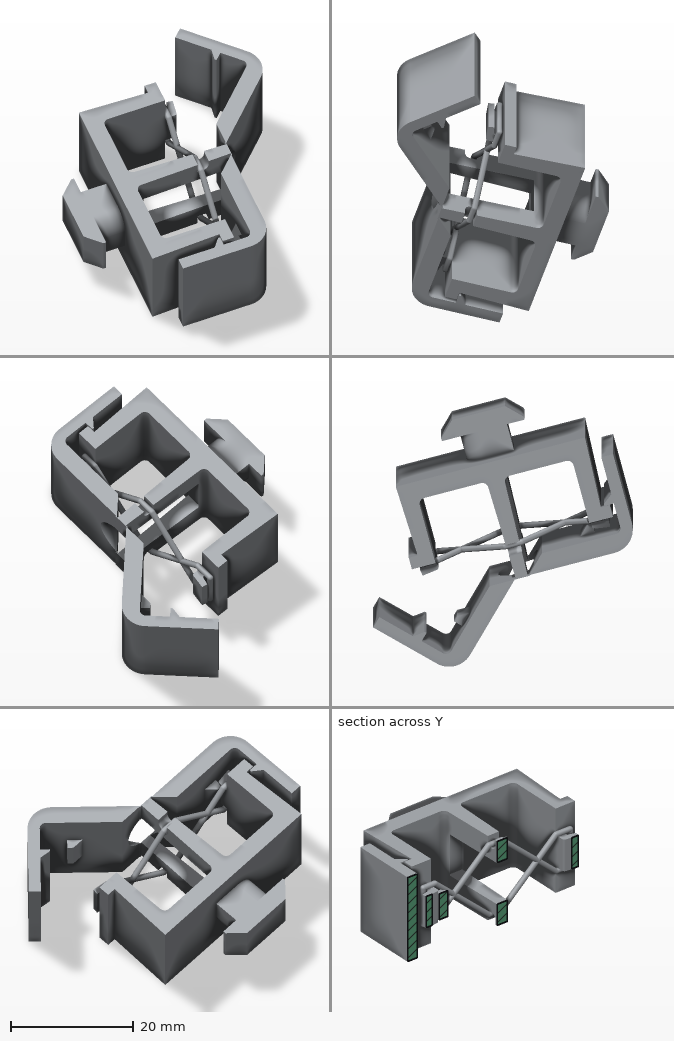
import cadquery as cq
import math


width = 16.0
base_half = 16.0
rim_root_half = 15.5
rim_half = 17.0
rim_bottom = 12.0
rim_top = 14.0
floor_top = 3.0
bay_outer = 13.0
bay_fillet = 1.0
middle_foot_half = 1.45
middle_tip_half = 1.0
middle_top = 19.985

slot_half = 3.9
slot_bottom = floor_top + bay_fillet
notch_top = 16.0
notch_fillet = 1.0

wire_height = 1.0
wire_width = 0.9
wire_edge_radius = 0.43
wire_y = rim_top + wire_height / 2
wire_end_left = -15.6
wire_end_right = 15.05
wire_bend_outer = 12.6
wire_bend_inner = 1.4
notch_floor = 6.1
wire_notch_z = notch_floor + wire_width / 2

hook_half = 3.0
wire_end_z = hook_half + wire_width / 2
hook_neck_x = 14.5
hook_neck_top = 15.15
hook_tip_x = 16.0
hook_tip_bottom = 15.5
hook_tip_top_x = 15.85
hook_tip_top = 16.5
hook_back_top = 16.1
hook_fillet = 0.4

hinge_x = 1.215
hinge_film = 0.115
hinge_y_closed = middle_top - hinge_film
hinge_y_open = middle_top
hinge_overlap = 0.2
lid_open_angle = 45.0
lid_length = 18.5
lid_drop = 16.0
lid_thickness = 3.0
arm_thickness = 2.0
lid_outer_radius = 4.0
lid_inner_radius = 1.0
lid_hole_d = 8.0

latch_top = 8.0
latch_height = 1.6
latch_depth = 1.6
latch_nose = 0.35
nub_end = 12.0
nub_base = 2.5
nub_tip = 1.0
nub_depth = 1.5
nub_width = 5.0

foot_half = 7.0
foot_width = 7.0
foot_drop = 7.5
foot_chamfer = 2.5
stem_length = 4.5
stem_half = 4.0
stem_radius = 3.0


def plate(points, plate_width=width):
    """Closed XY outline extruded symmetrically about Z = 0."""
    return cq.Workplane("XY").polyline(points).close().extrude(plate_width / 2, both=True)


def box_between(x0, x1, y0, y1, z0, z1):
    return cq.Workplane("XY").box(x1 - x0, y1 - y0, z1 - z0, centered=False).translate((x0, y0, z0))


def both_sides(body):
    """The body together with its mirror image across X = 0."""
    return body.union(body.mirror("YZ"))


def make_base():
    half = plate([
        (0, 0), (base_half, 0), (rim_root_half, rim_bottom), (rim_half, rim_bottom),
        (rim_half, rim_top), (0, rim_top),
    ])
    middle_slope = (middle_foot_half - middle_tip_half) / (middle_top - floor_top)
    bay_top_inner = middle_foot_half - middle_slope * (rim_top - floor_top)
    bay = plate([
        (middle_foot_half, floor_top), (bay_outer, floor_top),
        (bay_outer, rim_top), (bay_top_inner, rim_top),
    ])
    bay = bay.edges("|Z and <Y").fillet(bay_fillet)
    upper_wall = plate([
        (0, rim_top), (bay_top_inner, rim_top), (middle_tip_half, middle_top), (0, middle_top),
    ])
    return both_sides(half.cut(bay).union(upper_wall))


def make_hooks():
    hook = plate([
        (bay_outer, rim_top), (hook_neck_x, rim_top), (hook_neck_x, hook_neck_top),
        (hook_tip_x, hook_tip_bottom), (hook_tip_top_x, hook_tip_top), (bay_outer, hook_back_top),
    ], 2 * hook_half)
    corner = cq.selectors.NearestToPointSelector((bay_outer, hook_back_top, 0))
    return both_sides(hook.edges("|Z").edges(corner).fillet(hook_fillet))


def make_foot():
    stem = box_between(-stem_half, stem_half, -stem_length, 0, -foot_width / 2, foot_width / 2)
    for x, z in ((stem_half, foot_width / 2), (-stem_half, -foot_width / 2)):
        corner = cq.selectors.NearestToPointSelector((x, -stem_length / 2, z))
        stem = stem.edges("|Y").edges(corner).fillet(stem_radius)
    head = plate([
        (-foot_half, -stem_length), (foot_half, -stem_length),
        (foot_half, foot_chamfer - foot_drop), (foot_half - foot_chamfer, -foot_drop),
        (foot_chamfer - foot_half, -foot_drop), (-foot_half, foot_chamfer - foot_drop),
    ], foot_width)
    return stem.union(head)


def make_lid():
    """Closed right-hand lid with its hinge line at the origin."""
    arm_inner = lid_length - arm_thickness
    arc_mid = lid_outer_radius * (1 - math.sqrt(0.5))
    inner_arc_mid = lid_inner_radius * (1 - math.sqrt(0.5))
    lid = (
        cq.Workplane("XY")
        .lineTo(lid_length - lid_outer_radius, 0)
        .threePointArc((lid_length - arc_mid, -arc_mid), (lid_length, -lid_outer_radius))
        .lineTo(lid_length, -lid_drop)
        .lineTo(arm_inner, -lid_drop)
        .lineTo(arm_inner, -lid_thickness - lid_inner_radius)
        .threePointArc(
            (arm_inner - inner_arc_mid, -lid_thickness - inner_arc_mid),
            (arm_inner - lid_inner_radius, -lid_thickness),
        )
        .lineTo(lid_thickness, -lid_thickness)
        .close()
        .extrude(width / 2, both=True)
    )
    latch_y = latch_top - lid_drop
    latch = plate([
        (arm_inner, latch_y), (arm_inner - latch_depth, latch_y),
        (arm_inner - latch_depth, latch_y - latch_nose), (arm_inner, latch_y - latch_height),
    ])
    nub = plate([
        (nub_end, -lid_thickness), (nub_end - nub_base, -lid_thickness),
        (nub_end - nub_tip, -lid_thickness - nub_depth), (nub_end, -lid_thickness - nub_depth),
    ], nub_width)

    hole_shift = hinge_x * math.sqrt(0.5)
    hole_plane = cq.Plane(origin=(-hole_shift, hole_shift, 0), xDir=(0, 0, 1), normal=(1, 1, 0))
    hole = cq.Workplane(hole_plane).circle(lid_hole_d / 2).extrude(lid_length, both=True)
    return lid.cut(hole).union(latch).union(nub)


def make_housing():
    body = make_base().union(make_hooks()).union(make_foot())

    lid = make_lid()
    closed_lid = lid.translate((hinge_x, hinge_y_closed, 0))
    open_lid = lid.mirror("YZ").rotate((0, 0, 0), (0, 0, 1), -lid_open_angle)
    open_lid = open_lid.translate((-hinge_x, hinge_y_open, 0))
    film_half = hinge_x + hinge_overlap
    film = box_between(
        -film_half, film_half, middle_top - hinge_film, middle_top, -width / 2, width / 2
    )
    body = body.union(film).union(closed_lid).union(open_lid)

    slot = box_between(-film_half, film_half, slot_bottom, middle_top, -slot_half, slot_half)
    notch = box_between(-film_half, film_half, rim_top, notch_top, notch_floor, width / 2)
    corner = cq.selectors.NearestToPointSelector((0, notch_top, notch_floor))
    notch = notch.edges("|X").edges(corner).fillet(notch_fillet)
    return body.cut(slot).cut(notch).cut(notch.mirror("XY"))


def make_wire():
    """Figure-eight wire: two mirrored strands that cross once in each bay."""
    path = cq.Workplane("XZ", origin=(0, wire_y, 0)).polyline([
        (wire_end_left, 0),
        (wire_end_left, wire_end_z),
        (-wire_bend_outer, wire_end_z),
        (-wire_bend_inner, -wire_notch_z),
        (wire_bend_inner, -wire_notch_z),
        (wire_bend_outer, wire_end_z),
        (wire_end_right, wire_end_z),
        (wire_end_right, 0),
    ])
    outline = cq.Sketch().rect(wire_width, wire_height).vertices().fillet(wire_edge_radius)
    section = cq.Workplane("XY", origin=(wire_end_left, wire_y, 0)).placeSketch(outline)
    strand = section.sweep(path, transition="round")
    return strand.union(strand.mirror("XY"))


housing = make_housing()
wire = make_wire()
result = cq.Compound.makeCompound([housing.val(), wire.val()])